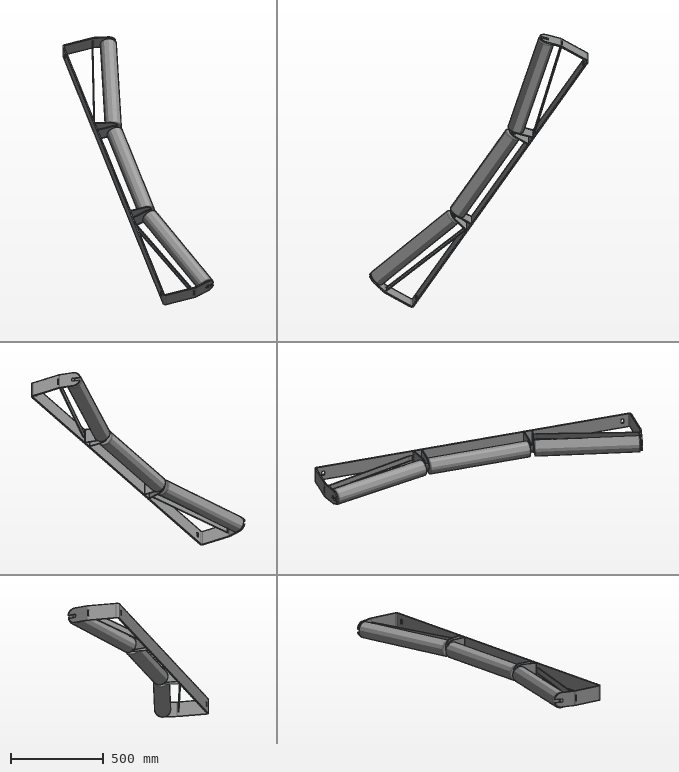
import cadquery as cq
import math

span = 1800.0
frame_height = 81.0
plate = 8.0
bracket_plate = 6.0
corner_radius = 15.0
lean_radius = 18.0
bend_y = 180.0
troughing_angle = 15.0
forward_tilt = 0.7

roller_length = 569.0
roller_diameter = 88.0
roller_drop = 15.0
roller_edge = 4.0
axle_diameter = 18.0
end_gap = 3.2
axle_stub = end_gap + plate

middle_axis_y = 100.0
wing_axis_y = 178.0
wing_seat = 77.0

bracket_top_y = 126.0

brace_thickness = 5.0
brace_height = 32.0
brace_arm_y = 175.0
brace_foot_x = -345.0

hole_width = 16.0
hole_height = 27.0
hole_inset = 49.0

lean = math.radians(troughing_angle)
roller_radius = roller_diameter / 2
middle_axis_z = roller_radius - roller_drop
wing_axis_z = middle_axis_z + roller_length / 2 * math.sin(math.radians(forward_tilt))
mid_z = frame_height / 2
bend_x = -span / 2
support_offset = roller_length / 2 + axle_stub
wing_axis_x = (
    bend_x + (support_offset - (wing_axis_y - bend_y) * math.sin(lean)) / math.cos(lean)
)


def place_wing(shape):
    """Move a shape from the roller frame (axis along X) to the left wing roller."""
    return (
        shape.rotate((0, 0, 0), (0, 1, 0), forward_tilt)
        .rotate((0, 0, 0), (0, 0, 1), -troughing_angle)
        .translate((wing_axis_x, wing_axis_y, wing_axis_z))
    )


def place_middle(shape):
    """Move a shape from the roller frame to the middle roller."""
    return shape.translate((0, middle_axis_y, middle_axis_z))


def mirrored(shape):
    return shape.mirror("YZ")


def x_cylinder(radius, length):
    return cq.Workplane("YZ", origin=(-length / 2, 0, 0)).circle(radius).extrude(length)


def make_axle():
    return x_cylinder(axle_diameter / 2, 2 * support_offset)


def make_roller():
    shell = x_cylinder(roller_radius, roller_length).edges().fillet(roller_edge)
    return shell.union(make_axle())


def make_axle_slot():
    """Slot for the outer axle end, open towards the tip of the arm."""
    opening = cq.Workplane("XY").box(
        2 * axle_stub, frame_height, axle_diameter, centered=(True, False, True)
    )
    round_end = x_cylinder(axle_diameter / 2, 2 * axle_stub)
    return opening.union(round_end).translate((-support_offset, 0, 0))


def make_arm_end():
    """Leaning, round-ended plate at the tip of the left side arm."""
    along_arm = (math.sin(lean), math.cos(lean), 0)
    inwards = (math.cos(lean), -math.sin(lean), 0)
    face = cq.Plane(origin=(bend_x, bend_y, mid_z), xDir=along_arm, normal=inwards)
    straight = cq.Workplane(face).center(wing_seat / 2, 0).rect(wing_seat, frame_height).extrude(plate)
    tip = cq.Workplane(face).center(wing_seat, 0).circle(frame_height / 2).extrude(plate)
    return straight.union(tip)


def make_frame():
    """U-shaped strip with leaning arm ends, mounting holes, axle slots and brace openings."""
    strip = (
        cq.Workplane("XY").center(0, bend_y / 2).rect(span, bend_y).extrude(frame_height)
        .edges("|Z and <Y").fillet(corner_radius)
    )
    inside = (
        cq.Workplane("XY").center(0, plate + bend_y / 2)
        .rect(span - 2 * plate, bend_y).extrude(frame_height)
        .edges("|Z and <Y").fillet(corner_radius - plate)
    )
    frame = strip.cut(inside)
    for arm_end in (make_arm_end(), mirrored(make_arm_end())):
        frame = frame.union(arm_end)
    for x in (bend_x, -bend_x):
        outer_bend = cq.selectors.NearestToPointSelector((x, bend_y, mid_z))
        frame = frame.edges(outer_bend).fillet(lean_radius)
    hole_x = span / 2 - hole_inset
    holes = (
        cq.Workplane("XZ", origin=(0, 0, mid_z)).pushPoints([(-hole_x, 0), (hole_x, 0)])
        .slot2D(hole_height, hole_width, 90).extrude(-plate)
    )
    frame = frame.cut(holes)
    for opening in (place_wing(make_axle_slot()), make_brace()):
        frame = frame.cut(opening).cut(mirrored(opening))
    return frame


def make_bracket():
    """Folded strip with a rounded top, between the left wing roller and the middle roller."""
    inner_end = roller_length / 2 + end_gap

    def leaning_face_x(offset, y):
        """X of a plane across the wing axis, at a distance from the roller middle."""
        return wing_axis_x + (offset + (y - wing_axis_y) * math.sin(lean)) / math.cos(lean)

    under_top = bracket_top_y - bracket_plate
    far_offset = inner_end + bracket_plate
    upright_near = -inner_end
    upright_far = -far_offset
    outline = [
        (leaning_face_x(inner_end, plate), plate),
        (leaning_face_x(inner_end, bracket_top_y), bracket_top_y),
        (upright_near, bracket_top_y),
        (upright_near, plate),
        (upright_far, plate),
        (upright_far, under_top),
        (leaning_face_x(far_offset, under_top), under_top),
        (leaning_face_x(far_offset, plate), plate),
    ]
    strip = cq.Workplane("XY").polyline(outline).close().extrude(frame_height)
    straight_y = bracket_top_y - frame_height / 2
    rounded = (
        cq.Workplane("YZ", origin=(-span / 2, 0, 0)).lineTo(straight_y, 0)
        .threePointArc((bracket_top_y, mid_z), (straight_y, frame_height))
        .lineTo(0, frame_height).close()
        .extrude(span / 2)
    )
    strip = strip.intersect(rounded)
    return strip.cut(place_wing(make_axle())).cut(place_middle(make_axle()))


def make_brace():
    """Flat bar from the outer face of the left arm, through the arm, down to the frame."""
    slope = math.atan2(brace_arm_y - plate, brace_foot_x - bend_x)
    outline = [
        (bend_x, brace_arm_y),
        (brace_foot_x, plate),
        (brace_foot_x - brace_thickness / math.sin(slope), plate),
        (bend_x, brace_arm_y - brace_thickness / math.cos(slope)),
    ]
    bottom_z = mid_z - brace_height / 2
    return cq.Workplane("XY", origin=(0, 0, bottom_z)).polyline(outline).close().extrude(brace_height)


frame = make_frame()
middle_roller = place_middle(make_roller())
wing_roller = place_wing(make_roller())
bracket = make_bracket()
brace = make_brace()

bodies = [frame.solids().val(), middle_roller.solids().val()]
for left_body in (wing_roller, bracket, brace):
    bodies.append(left_body.solids().val())
    bodies.append(mirrored(left_body).solids().val())

result = cq.Compound.makeCompound(bodies)